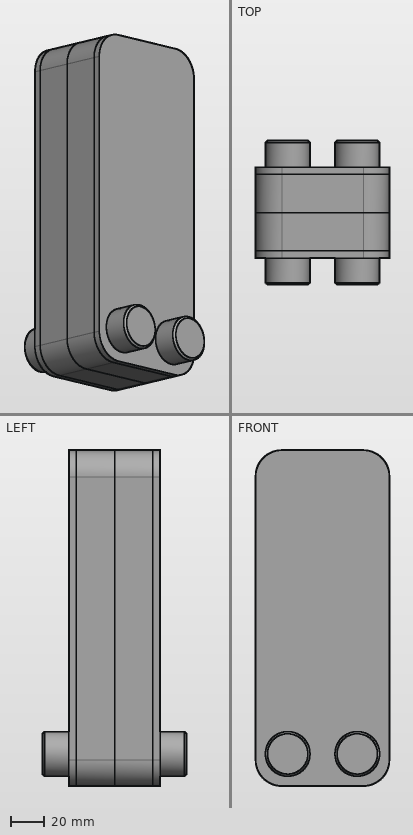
import cadquery as cq

width = 81.0
height = 203.0
corner_radius = 16.0
pack_depth = 55.0
cover_thickness = 4.5
core_thickness = pack_depth / 2 - cover_thickness

overall_depth = 87.0
port_diameter = 27.0
port_length = (overall_depth - pack_depth) / 2
port_chamfer = 1.32
port_spacing = 42.0
port_height = 19.5


def make_layer(y_start, thickness):
    """Rounded slab that fills Y from y_start to y_start + thickness."""
    return (
        cq.Workplane("XZ", origin=(0, y_start, 0))
        .rect(width, height)
        .extrude(-thickness)
        .edges("|Y")
        .fillet(corner_radius)
    )


def make_port(x, side):
    """Round port on the front (side = -1) or back (side = 1) cover."""
    base = cq.Vector(x, side * pack_depth / 2, port_height - height / 2)
    plane = cq.Plane(origin=base, xDir=(1, 0, 0), normal=(0, side, 0))
    return (
        cq.Workplane(plane)
        .circle(port_diameter / 2)
        .extrude(port_length)
        .faces(">Y" if side > 0 else "<Y")
        .chamfer(port_chamfer)
    )


front_cover = make_layer(-pack_depth / 2, cover_thickness)
front_core = make_layer(-core_thickness, core_thickness)
back_core = make_layer(0, core_thickness)
back_cover = make_layer(core_thickness, cover_thickness)

ports = [
    make_port(x, side)
    for side in (-1, 1)
    for x in (-port_spacing / 2, port_spacing / 2)
]

result = cq.Compound.makeCompound([
    front_cover.val(),
    front_core.val(),
    back_core.val(),
    back_cover.val(),
    *[port.val() for port in ports],
])